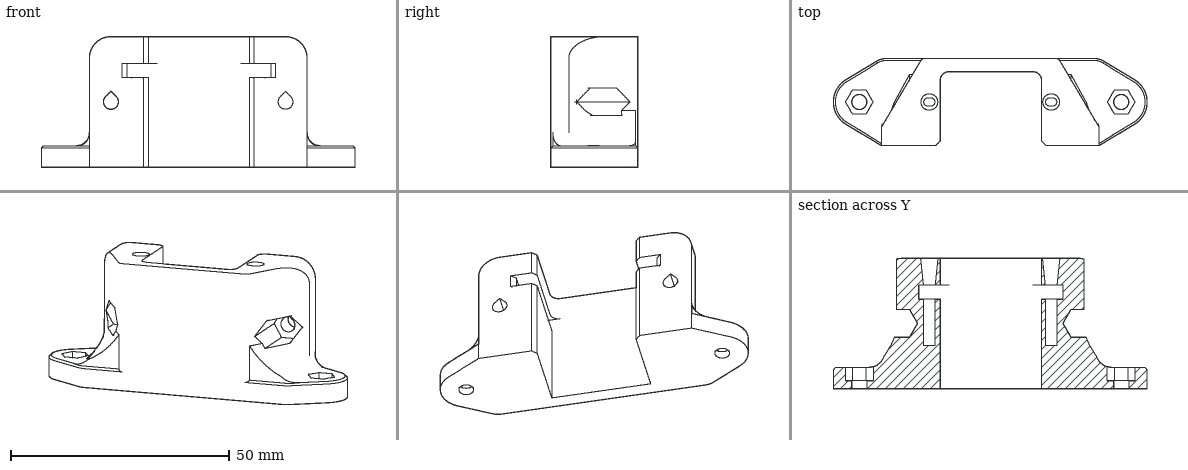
import cadquery as cq
import math


half_length = 36

half_width = 25.0
depth = 20.0
height = 30.0
top_round = 5.0

opening_half = 11.6
opening_x = 0.15
back_wall = 3.1
mouth_chamfer = 1.1
opening_corner_radius = 1.95

slot_bottom = 20.6
slot_top = 23.8
slot_side_depth = 4.9

ear_thickness = 5.0
ear_radius = 6.0
ear_hole_x = half_length - ear_radius
ear_edge_chamfer = 0.5
screw_diameter = 3.4
ear_nut_flats = 5.5
ear_nut_depth = 3.0

slant_front_y = 4.2
slant_back_x = 15.6
blend_top = 13.0
side_fillet = 3.0
blend_back_x = 23.7
blend_back_z = 6.3
blend_back_toe_x = 27.4
blend_sag = 0.7
slant_edge_round = 1.2
ear_corner_round = 4.0

clamp_x = 20.0
clamp_z = 15.05
pocket_x = 20.3
pocket_flats = 6.3
pocket_floor_y = 5.0

pilot_x = 14.0
pilot_top_length = 3.9
pilot_top_width = 3.7
pilot_length = 2.6
pilot_width = 1.9
pilot_depth = 20.0

plate_thickness = 1.0

SIDES = (-1, 1)
mid_depth = depth / 2
back_y = depth - back_wall
flats_to_corners = 2 / math.sqrt(3)


def vertical_edge(x, y):
    """Selector for the upright edge nearest to a plan position."""
    return cq.selectors.NearestToPointSelector((x, y, 0))


def ear_prism(inset, side, top):
    """Ear plan carried up to a level: a round end joined by tangents to the block corners, less an inset."""
    radius = ear_radius - inset
    half_depth = mid_depth - inset
    run = ear_hole_x - half_width
    reach = math.hypot(run, half_depth)
    angle = math.atan2(half_depth, -run) - math.acos(radius / reach)
    touch_x = side * (ear_hole_x + radius * math.cos(angle))
    touch_y = radius * math.sin(angle)
    prism = (
        cq.Workplane("XY")
        .moveTo(0, mid_depth - half_depth)
        .lineTo(side * half_width, mid_depth - half_depth)
        .lineTo(touch_x, mid_depth - touch_y)
        .threePointArc((side * (ear_hole_x + radius), mid_depth), (touch_x, mid_depth + touch_y))
        .lineTo(side * half_width, mid_depth + half_depth)
        .lineTo(0, mid_depth + half_depth)
        .close()
        .extrude(top)
    )
    back_corner = vertical_edge(side * half_width, mid_depth + half_depth)
    return prism.edges("|Z").edges(back_corner).fillet(ear_corner_round - inset)


def block():
    """Main block with rounded top sides and slanted rear corners."""
    body = cq.Workplane("XY").box(2 * half_width, depth, height, centered=(True, False, False))
    body = body.edges("|Y and >Z").fillet(top_round)
    plan = (
        cq.Workplane("XY")
        .polyline([
            (-half_width, 0),
            (half_width, 0),
            (half_width, slant_front_y),
            (slant_back_x, depth),
            (-slant_back_x, depth),
            (-half_width, slant_front_y),
        ])
        .close()
        .extrude(height)
    )
    plan = plan.edges("|Z and >Y").fillet(slant_edge_round)
    return body.intersect(plan)


def sagged_middle(start, end, sag):
    """Middle point of an arc that sags below its chord; start is higher and nearer the block than end."""
    run = end[0] - start[0]
    drop = start[1] - end[1]
    chord = math.hypot(run, drop)
    middle_x = (start[0] + end[0]) / 2 - sag * drop / chord
    middle_z = (start[1] + end[1]) / 2 - sag * run / chord
    return middle_x, middle_z


def blend_section(y, side, crest_x, ridge, toe_x, slope_sag):
    """Section of the blend at a given Y: a slope to the ridge, then an arc tangent to the ear."""
    crest = (crest_x, blend_top)
    toe = (toe_x, ear_thickness)
    run = toe[0] - ridge[0]
    rise = ridge[1] - toe[1]
    toe_sag = math.hypot(run, rise) / 2 * math.tan(math.atan2(rise, run) / 2)
    toe_middle = sagged_middle(ridge, toe, toe_sag)
    section = cq.Workplane("XZ", origin=(0, y, 0)).moveTo(0, blend_top).lineTo(side * crest[0], crest[1])
    if slope_sag > 0:
        slope_middle = sagged_middle(crest, ridge, slope_sag)
        section = section.threePointArc(
            (side * slope_middle[0], slope_middle[1]), (side * ridge[0], ridge[1])
        )
    else:
        section = section.lineTo(side * ridge[0], ridge[1])
    return (
        section
        .threePointArc((side * toe_middle[0], toe_middle[1]), (side * toe[0], toe[1]))
        .lineTo(side * toe[0], 0)
        .lineTo(0, 0)
        .close()
        .val()
    )


def ear(side):
    """Ear plate, its edge chamfer, and the blend that rises from it to the block."""
    plate = ear_prism(0, side, ear_thickness).faces(">Z").chamfer(ear_edge_chamfer)
    ridge = (half_width, ear_thickness + side_fillet)
    front, middle = (
        blend_section(y, side, half_width, ridge, half_width + side_fillet, 0) for y in (0, slant_front_y)
    )
    back_ridge = (blend_back_x, blend_back_z)
    back = blend_section(depth, side, slant_back_x, back_ridge, blend_back_toe_x, blend_sag)
    fillet_part = cq.Workplane(cq.Solid.makeLoft([front, middle], True))
    blend_part = cq.Workplane(cq.Solid.makeLoft([middle, back], True))
    limits = ear_prism(ear_edge_chamfer, side, blend_top)
    return plate.union(fillet_part.union(blend_part).intersect(limits))


def channel(half, bottom, top):
    """Space open to the front, with its mouth widened by chamfers."""
    return (
        cq.Workplane("XY", origin=(opening_x, 0, bottom))
        .polyline([
            (-half - mouth_chamfer, 0),
            (-half, mouth_chamfer),
            (-half, back_y),
            (half, back_y),
            (half, mouth_chamfer),
            (half + mouth_chamfer, 0),
        ])
        .close()
        .extrude(top - bottom)
    )


def ear_screw_hole(side):
    """Vertical screw hole through an ear with a hexagonal nut recess on top."""
    hole = (
        cq.Workplane("XY", origin=(side * ear_hole_x, mid_depth, 0))
        .circle(screw_diameter / 2)
        .extrude(blend_top)
    )
    nut = (
        cq.Workplane("XY", origin=(side * ear_hole_x, mid_depth, ear_thickness - ear_nut_depth))
        .polygon(6, ear_nut_flats * flats_to_corners)
        .extrude(blend_top)
    )
    return hole.union(nut)


def clamp_hole(side):
    """Horizontal teardrop hole with its point upward, through the full depth."""
    radius = screw_diameter / 2
    shoulder = radius * math.sqrt(0.5)
    return (
        cq.Workplane("XZ", origin=(side * clamp_x, 0, clamp_z))
        .moveTo(-shoulder, shoulder)
        .threePointArc((0, -radius), (shoulder, shoulder))
        .lineTo(0, 2 * shoulder)
        .close()
        .extrude(-depth)
    )


def pocket_hexagon(side, length):
    """Hexagonal prism that starts at the nut pocket floor and runs toward the back."""
    return (
        cq.Workplane("XZ", origin=(side * pocket_x, pocket_floor_y, clamp_z))
        .polygon(6, pocket_flats * flats_to_corners)
        .extrude(-length)
    )


def pilot_hole(side):
    """Slightly stretched hole from the top: tapered down to the slot, then straight to a blind end."""
    taper = (
        cq.Workplane("XY", origin=(side * pilot_x, mid_depth, height))
        .slot2D(pilot_top_length, pilot_top_width)
        .workplane(offset=slot_top - height)
        .slot2D(pilot_length, pilot_width)
        .loft(ruled=True)
    )
    straight = (
        cq.Workplane("XY", origin=(side * pilot_x, mid_depth, height - pilot_depth))
        .slot2D(pilot_length, pilot_width)
        .extrude(slot_top - height + pilot_depth)
    )
    return taper.union(straight)


def make_housing():
    """Block with both ears, less the opening, the plate slot and all holes."""
    body = block()
    for side in SIDES:
        body = body.union(ear(side))
    opening_lower = channel(opening_half, 0, slot_top)
    opening_upper = channel(opening_half, slot_top, height).edges("|Z and >Y").fillet(opening_corner_radius)
    slot = channel(opening_half + slot_side_depth, slot_bottom, slot_top)
    body = body.cut(opening_lower).cut(opening_upper).cut(slot)
    for side in SIDES:
        body = body.cut(ear_screw_hole(side))
        body = body.cut(clamp_hole(side))
        body = body.cut(pocket_hexagon(side, depth))
        body = body.cut(pilot_hole(side))
    return body


def make_blank_plate():
    """Hexagonal plate on the floor of the right nut pocket, closing the clamp hole."""
    return pocket_hexagon(1, plate_thickness)


housing = make_housing()
blank_plate = make_blank_plate()

result = cq.Compound.makeCompound([housing.val(), blank_plate.val()])